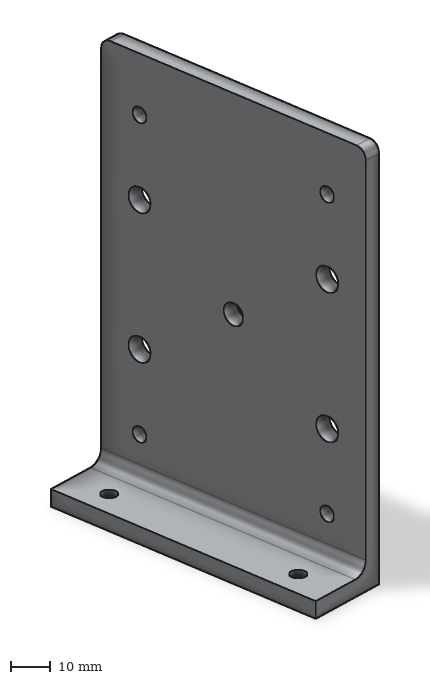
import cadquery as cq

width = 88.9
depth = 24.1
height = 127.0
thickness = 5.1
inner_fillet = 4.0
corner_radius = 3.2

hole_spacing_x = 63.0
small_diameter = 4.6
small_spacing_z = 91.7
large_diameter = 7.4
large_spacing_z = 42.9
center_diameter = 6.5

foot_hole_spacing = 63.5
foot_hole_from_edge = 7.7


def l_bracket():
    """L profile extruded along X; front of the foot at Y = 0, underside at Z = 0."""
    plate_front = depth - thickness
    body = (
        cq.Workplane("YZ")
        .polyline([
            (0, 0),
            (depth, 0),
            (depth, height),
            (plate_front, height),
            (plate_front, thickness),
            (0, thickness),
        ])
        .close()
        .extrude(width / 2, both=True)
    )
    inner_corner = cq.selectors.NearestToPointSelector((0, plate_front, thickness))
    body = body.edges(inner_corner).fillet(inner_fillet)
    return body.edges("|Y and >Z").edges("<X or >X").fillet(corner_radius)


def plate_holes(diameter, points):
    """Cylinders along Y through the upright, at points measured from the plate centre."""
    return (
        cq.Workplane("XZ", origin=(0, depth, height / 2))
        .pushPoints(points)
        .circle(diameter / 2)
        .extrude(thickness)
    )


def hole_grid(spacing_x, spacing_z):
    return [(i * spacing_x / 2, k * spacing_z / 2) for i in (-1, 1) for k in (-1, 1)]


def foot_holes():
    """Cylinders along Z through the foot."""
    return (
        cq.Workplane("XY", origin=(0, foot_hole_from_edge, 0))
        .pushPoints([(-foot_hole_spacing / 2, 0), (foot_hole_spacing / 2, 0)])
        .circle(small_diameter / 2)
        .extrude(thickness)
    )


result = (
    l_bracket()
    .cut(plate_holes(small_diameter, hole_grid(hole_spacing_x, small_spacing_z)))
    .cut(plate_holes(large_diameter, hole_grid(hole_spacing_x, large_spacing_z)))
    .cut(plate_holes(center_diameter, [(0, 0)]))
    .cut(foot_holes())
)